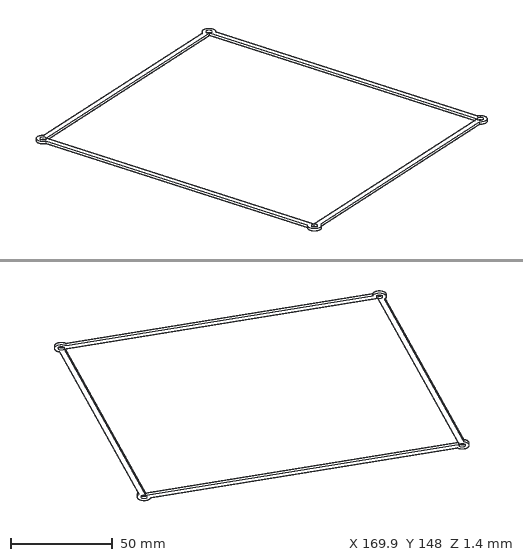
import cadquery as cq

length = 169.9
width = 148.0
thickness = 1.4

eyelet_radius = 3.4
hole_diameter = 3.0

bar_width = 2.9
bar_inner_offset = 1.2
bar_outer_offset = bar_width - bar_inner_offset

span_x = length - 2 * eyelet_radius
span_y = width - 2 * eyelet_radius


def rectangle_plate(offset):
    """Plate whose edges lie the given offset outside the eyelet centres."""
    return cq.Workplane("XY").rect(span_x + 2 * offset, span_y + 2 * offset).extrude(thickness)


def corner_discs(radius):
    """Full-height disc at each eyelet centre."""
    corners = cq.Workplane("XY").rect(span_x, span_y, forConstruction=True).vertices()
    return corners.circle(radius).extrude(thickness)


outline = rectangle_plate(bar_outer_offset).union(corner_discs(eyelet_radius))

opening = rectangle_plate(-bar_inner_offset)
holes = corner_discs(hole_diameter / 2)

result = outline.cut(opening).cut(holes)